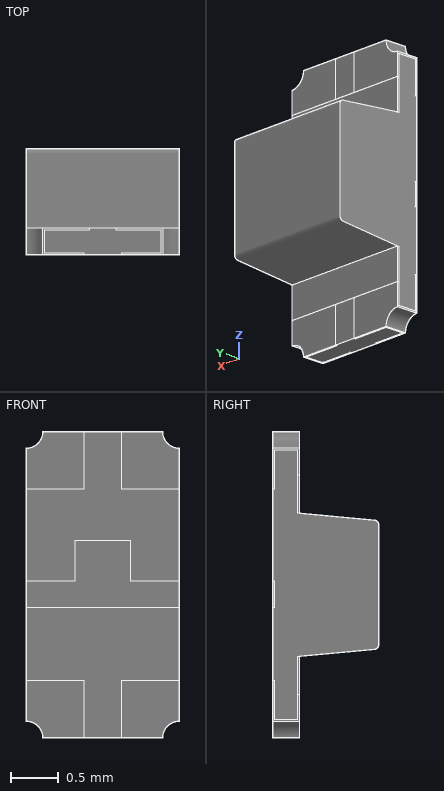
import cadquery as cq

WIDTH = 1.6
DEPTH = 1.11
HEIGHT = 3.2

BOARD_THICKNESS = 0.28
LENS_BASE_HALF = 0.75
LENS_TIP_HALF = 0.672
LENS_TIP_RADIUS = 0.05

LAYER = 0.02
NOTCH_RADIUS = 0.173
FRONT_PAD = 0.6
BACK_PAD_WIDTH = 0.66
BACK_PAD_HEIGHT = 0.455

MARK_BAR_TOP = 0.04
MARK_BAR_HEIGHT = 0.28
MARK_STEM_WIDTH = 0.575
MARK_STEM_HEIGHT = 0.42

PLATED_RADIUS = NOTCH_RADIUS + LAYER
BACK_LAYER_Y = BOARD_THICKNESS - LAYER
CORNERS = [(side, end) for side in (-1, 1) for end in (-1, 1)]


def block(x_range, y_range, z_range):
    """Box spanning the given (low, high) limits on each axis."""
    lows, highs = zip(x_range, y_range, z_range)
    sizes = [high - low for low, high in zip(lows, highs)]
    return cq.Workplane("XY").box(*sizes, centered=False).translate(lows)


def corner_block(side, end, width, height, y_range):
    """Box reaching inward from one corner of the board."""
    x_range = sorted((side * WIDTH / 2, side * (WIDTH / 2 - width)))
    z_range = sorted((end * HEIGHT / 2, end * (HEIGHT / 2 - height)))
    return block(x_range, y_range, z_range)


def corner_cylinder(side, end, radius):
    """Cylinder through the board thickness, centred on one corner."""
    plane = cq.Plane(
        origin=(side * WIDTH / 2, 0, end * HEIGHT / 2), xDir=(1, 0, 0), normal=(0, 1, 0)
    )
    return cq.Workplane(plane).circle(radius).extrude(BOARD_THICKNESS)


def make_terminal(side, end):
    """C-shaped terminal: front pad, plated corner notch and back pad."""
    front_pad = corner_block(side, end, FRONT_PAD, FRONT_PAD, (0, LAYER))
    back_pad = corner_block(
        side, end, BACK_PAD_WIDTH, BACK_PAD_HEIGHT, (BACK_LAYER_Y, BOARD_THICKNESS)
    )
    plating = corner_cylinder(side, end, PLATED_RADIUS).intersect(
        corner_block(side, end, PLATED_RADIUS, PLATED_RADIUS, (0, BOARD_THICKNESS))
    )
    notch = corner_cylinder(side, end, NOTCH_RADIUS)
    return front_pad.union(plating).union(back_pad).cut(notch)


def make_polarity_mark():
    """Full-width bar with a stem rising from its middle."""
    bar = block(
        (-WIDTH / 2, WIDTH / 2), (0, LAYER), (MARK_BAR_TOP - MARK_BAR_HEIGHT, MARK_BAR_TOP)
    )
    stem = block(
        (-MARK_STEM_WIDTH / 2, MARK_STEM_WIDTH / 2),
        (0, LAYER),
        (MARK_BAR_TOP, MARK_BAR_TOP + MARK_STEM_HEIGHT),
    )
    return bar.union(stem)


def make_back_strip(end):
    """Strip across the back face, between the lens and the back pads."""
    z_range = sorted((end * LENS_BASE_HALF, end * (HEIGHT / 2 - BACK_PAD_HEIGHT)))
    return block((-WIDTH / 2, WIDTH / 2), (BACK_LAYER_Y, BOARD_THICKNESS), z_range)


def make_lens():
    """Tapered lens, standing on the back of the board, with rounded tip edges."""
    profile = [
        (BOARD_THICKNESS, -LENS_BASE_HALF),
        (DEPTH, -LENS_TIP_HALF),
        (DEPTH, LENS_TIP_HALF),
        (BOARD_THICKNESS, LENS_BASE_HALF),
    ]
    lens = cq.Workplane("YZ").polyline(profile).close().extrude(WIDTH / 2, both=True)
    return lens.faces(">Y").edges("|X").fillet(LENS_TIP_RADIUS)


def make_housing(inlays):
    """Board and lens in one piece, recessed for everything let into its faces."""
    board = block(
        (-WIDTH / 2, WIDTH / 2), (0, BOARD_THICKNESS), (-HEIGHT / 2, HEIGHT / 2)
    )
    housing = board.union(make_lens())
    for side, end in CORNERS:
        housing = housing.cut(corner_cylinder(side, end, PLATED_RADIUS))
    for inlay in inlays:
        housing = housing.cut(inlay)
    return housing


terminals = [make_terminal(side, end) for side, end in CORNERS]
back_strips = [make_back_strip(end) for end in (-1, 1)]
polarity_mark = make_polarity_mark()
inlays = [*terminals, *back_strips, polarity_mark]
housing = make_housing(inlays)

result = cq.Compound.makeCompound([housing.val(), *[inlay.val() for inlay in inlays]])